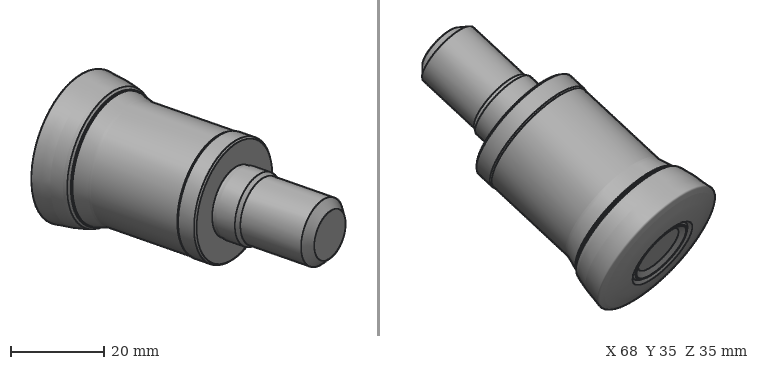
import cadquery as cq
import math

OVERALL_LENGTH = 68.0
DOME_MIDDLE_X = 0.5
DOME_END_X = 1.1
RIM_START_X = 1.5
RIM_END_X = 2.05
SKIRT_MIDDLE_X = 6.3
SKIRT_END_X = 9.25
CAP_EDGE_X = 10.1
CAP_BACK_X = 10.7
FLARE_START_X = 11.1
FLARE_END_X = 14.55
SLEEVE_START_X = 15.2
COLLAR_START_X = 38.3
COLLAR_END_X = 42.85
NECK_END_X = 43.45
SHOULDER_START_X = 44.3
SHOULDER_END_X = 49.0
SHANK_START_X = 50.0

CAP_RADIUS = 35.0 / 2
RIM_INNER_RADIUS = 17.2
DOME_RADIUS = 16.2
DOME_MIDDLE_RADIUS = 13.25
SKIRT_MIDDLE_RADIUS = 16.95
SKIRT_END_RADIUS = 16.3
CAP_BACK_RADIUS = 15.5
CAP_EDGE_RADIUS = 16.05
BORE_RADIUS = 8.2
BORE_MOUTH_RADIUS = 9.0

SEAT_RADIUS = 15.25
FLARE_RADIUS = 15.4
FLARE_END_RADIUS = 14.4
SLEEVE_RADIUS = 28.6 / 2
COLLAR_RADIUS = 29.0 / 2
COLLAR_CHAMFER = 0.4
COLLAR_STEP_LENGTH = 0.4
NECK_RADIUS = 8.3
SHOULDER_RADIUS = 17.0 / 2
SHANK_RADIUS = 15.8 / 2
TIP_CHAMFER = 2.05

PLUG_END_X = 0.35
GROOVE_BOTTOM_X = 0.7
PLUG_RECESS_X = 1.2
PLUG_EDGE_RADIUS = 7.75
RECESS_MOUTH_RADIUS = 7.4
RECESS_FLOOR_RADIUS = 6.05


def revolve_about_x(profile):
    """Turn a closed (axial position, radius) profile about the X axis."""
    return profile.close().revolve(360, (0, 0, 0), (1, 0, 0))


def make_cap():
    """Domed cap with a tapering skirt and a bore for the spindle."""
    arc_middle_x = DOME_MIDDLE_X / 4
    arc_middle_radius = (BORE_MOUTH_RADIUS + DOME_MIDDLE_RADIUS) / 2
    rim_middle_x = RIM_START_X + (RIM_END_X - RIM_START_X) * (1 - math.sqrt(0.5))
    rim_middle_radius = RIM_INNER_RADIUS + (CAP_RADIUS - RIM_INNER_RADIUS) * math.sqrt(0.5)
    profile = (
        cq.Workplane("XY")
        .moveTo(GROOVE_BOTTOM_X, BORE_RADIUS)
        .lineTo(0, BORE_MOUTH_RADIUS)
        .threePointArc((arc_middle_x, arc_middle_radius), (DOME_MIDDLE_X, DOME_MIDDLE_RADIUS))
        .lineTo(DOME_END_X, DOME_RADIUS)
        .lineTo(RIM_START_X, RIM_INNER_RADIUS)
        .threePointArc((rim_middle_x, rim_middle_radius), (RIM_END_X, CAP_RADIUS))
        .lineTo(SKIRT_MIDDLE_X, SKIRT_MIDDLE_RADIUS)
        .lineTo(SKIRT_END_X, SKIRT_END_RADIUS)
        .lineTo(CAP_EDGE_X, CAP_EDGE_RADIUS)
        .lineTo(CAP_BACK_X, CAP_BACK_RADIUS)
        .lineTo(CAP_BACK_X, BORE_RADIUS)
    )
    return revolve_about_x(profile)


def make_spindle():
    """Sleeve with a collar and shank, and a plug that fills the bore of the cap."""
    profile = (
        cq.Workplane("XY")
        .moveTo(PLUG_RECESS_X, 0)
        .lineTo(PLUG_RECESS_X, RECESS_FLOOR_RADIUS)
        .lineTo(PLUG_END_X, RECESS_MOUTH_RADIUS)
        .lineTo(PLUG_END_X, PLUG_EDGE_RADIUS)
        .lineTo(GROOVE_BOTTOM_X, BORE_RADIUS)
        .lineTo(CAP_BACK_X, BORE_RADIUS)
        .lineTo(CAP_BACK_X, SEAT_RADIUS)
        .lineTo(FLARE_START_X, FLARE_RADIUS)
        .lineTo(FLARE_END_X, FLARE_END_RADIUS)
        .lineTo(SLEEVE_START_X, SLEEVE_RADIUS)
        .lineTo(COLLAR_START_X - COLLAR_STEP_LENGTH, SLEEVE_RADIUS)
        .lineTo(COLLAR_START_X, COLLAR_RADIUS)
        .lineTo(COLLAR_END_X - COLLAR_CHAMFER, COLLAR_RADIUS)
        .lineTo(COLLAR_END_X, COLLAR_RADIUS - COLLAR_CHAMFER)
        .lineTo(COLLAR_END_X, NECK_RADIUS)
        .lineTo(NECK_END_X, NECK_RADIUS)
        .lineTo(SHOULDER_START_X, SHOULDER_RADIUS)
        .lineTo(SHOULDER_END_X, SHOULDER_RADIUS)
        .lineTo(SHANK_START_X, SHANK_RADIUS)
        .lineTo(OVERALL_LENGTH - TIP_CHAMFER, SHANK_RADIUS)
        .lineTo(OVERALL_LENGTH, SHANK_RADIUS - TIP_CHAMFER)
        .lineTo(OVERALL_LENGTH, 0)
    )
    return revolve_about_x(profile)


cap = make_cap()
spindle = make_spindle()

result = cq.Compound.makeCompound([cap.val(), spindle.val()])